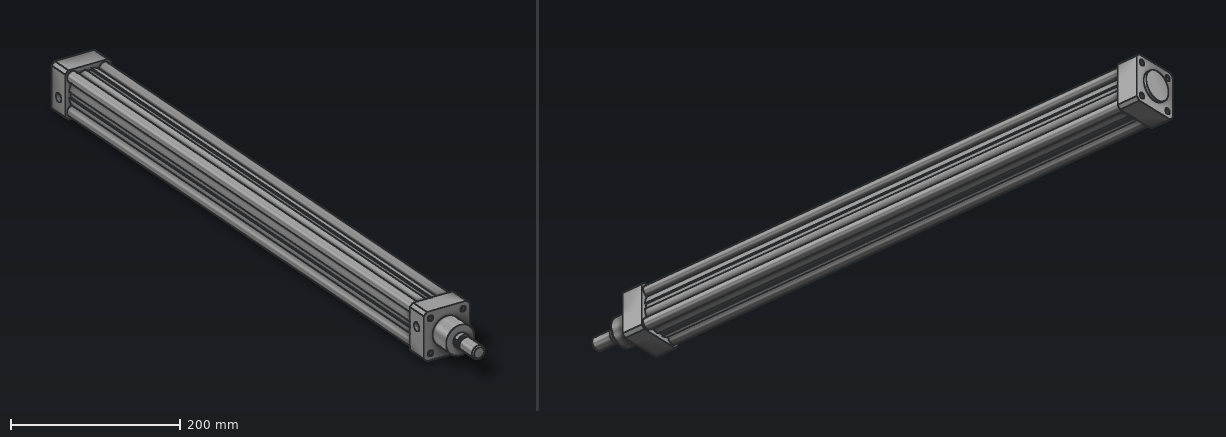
import cadquery as cq

total_length = 879.0
cap_size = 65.0
cap_length = 30.0
cap_corner_chamfer = 4.5
cap_boss_diameter = 40.0
rear_boss_length = 4.0
front_collar_length = 29.0

screw_spacing = 46.0
screw_recess_diameter = 6.0
screw_recess_depth = 5.0
screw_countersink = 1.0

port_diameter = 11.5
port_depth = 12.0
port_offset = 8.0
port_from_barrel = 14.5

barrel_size = 60.0
tube_diameter = 55.0
lobe_diameter = 15.0
groove_width = 8.0
groove_depth = 2.5

rod_diameter = 19.5
rod_exposed_length = 7.5
flat_start = 2.2
flat_length = 5.0
flat_distance = 17.0
neck_diameter = 14.0
neck_length = 2.5
thread_diameter = 18.0
thread_length = 31.0
thread_chamfer = 2.0

rear_cap_start = rear_boss_length
barrel_start = rear_cap_start + cap_length
rod_start = total_length - thread_length - neck_length - rod_exposed_length
front_cap_end = rod_start - front_collar_length
front_cap_start = front_cap_end - cap_length
barrel_length = front_cap_start - barrel_start


def plane_at(x):
    """YZ plane at station x, with its normal along +X."""
    return cq.Workplane("YZ", origin=(x, 0, 0))


def cylinder(start, diameter, length):
    return plane_at(start).circle(diameter / 2).extrude(length)


def screw_recess(outer_face, inward, y, z):
    """Countersunk hole volume from an outer cap face; inward is +1 or -1 along X."""
    plane = cq.Plane(origin=(outer_face, y, z), xDir=(0, 1, 0), normal=(inward, 0, 0))
    hole = cq.Workplane(plane).circle(screw_recess_diameter / 2).extrude(screw_recess_depth)
    mouth = (
        cq.Workplane(plane)
        .circle(screw_recess_diameter / 2 + screw_countersink)
        .workplane(offset=screw_countersink)
        .circle(screw_recess_diameter / 2)
        .loft()
    )
    return hole.union(mouth)


def make_port(x, z):
    """Blind round hole volume that runs inward from the -Y cap face."""
    return (
        cq.Workplane("XZ", origin=(x, -cap_size / 2, z))
        .circle(port_diameter / 2)
        .extrude(-port_depth)
    )


def make_cap(start, outer_face, inward, port_x, port_z):
    """Chamfered block with four screw recesses in its outer face and a port in its -Y face."""
    cap = (
        plane_at(start)
        .rect(cap_size, cap_size)
        .extrude(cap_length)
        .edges("|X")
        .chamfer(cap_corner_chamfer)
    )
    screw_offset = screw_spacing / 2
    for y in (-screw_offset, screw_offset):
        for z in (-screw_offset, screw_offset):
            cap = cap.cut(screw_recess(outer_face, inward, y, z))
    return cap.cut(make_port(port_x, port_z))


def make_rear_cap():
    cap = make_cap(rear_cap_start, rear_cap_start, 1, barrel_start - port_from_barrel, -port_offset)
    return cap.union(cylinder(0, cap_boss_diameter, rear_boss_length))


def make_front_cap():
    cap = make_cap(front_cap_start, front_cap_end, -1, front_cap_start + port_from_barrel, port_offset)
    return cap.union(cylinder(front_cap_end, cap_boss_diameter, front_collar_length))


def make_barrel():
    lobe_spacing = barrel_size - lobe_diameter
    lobes = (
        plane_at(barrel_start)
        .rect(lobe_spacing, lobe_spacing, forConstruction=True)
        .vertices()
        .circle(lobe_diameter / 2)
        .extrude(barrel_length)
    )
    tube = cylinder(barrel_start, tube_diameter, barrel_length)
    core = cylinder(barrel_start, tube_diameter - 2 * groove_depth, barrel_length)
    for width, height in ((groove_width, tube_diameter), (tube_diameter, groove_width)):
        strip = plane_at(barrel_start).rect(width, height).extrude(barrel_length)
        tube = tube.cut(strip.cut(core))
    return tube.union(lobes)


def make_rod():
    neck_start = rod_start + rod_exposed_length
    thread_start = neck_start + neck_length
    rod = cylinder(rod_start, rod_diameter, rod_exposed_length)
    flats = (
        plane_at(rod_start + flat_start)
        .rect(rod_diameter, rod_diameter)
        .rect(flat_distance, rod_diameter)
        .extrude(flat_length)
    )
    neck = cylinder(neck_start, neck_diameter, neck_length)
    thread = cylinder(thread_start, thread_diameter, thread_length).faces("<X or >X").chamfer(thread_chamfer)
    return rod.cut(flats).union(neck).union(thread)


rear_cap = make_rear_cap()
barrel = make_barrel()
front_cap = make_front_cap()
rod = make_rod()

result = cq.Compound.makeCompound([rear_cap.val(), barrel.val(), front_cap.val(), rod.val()])